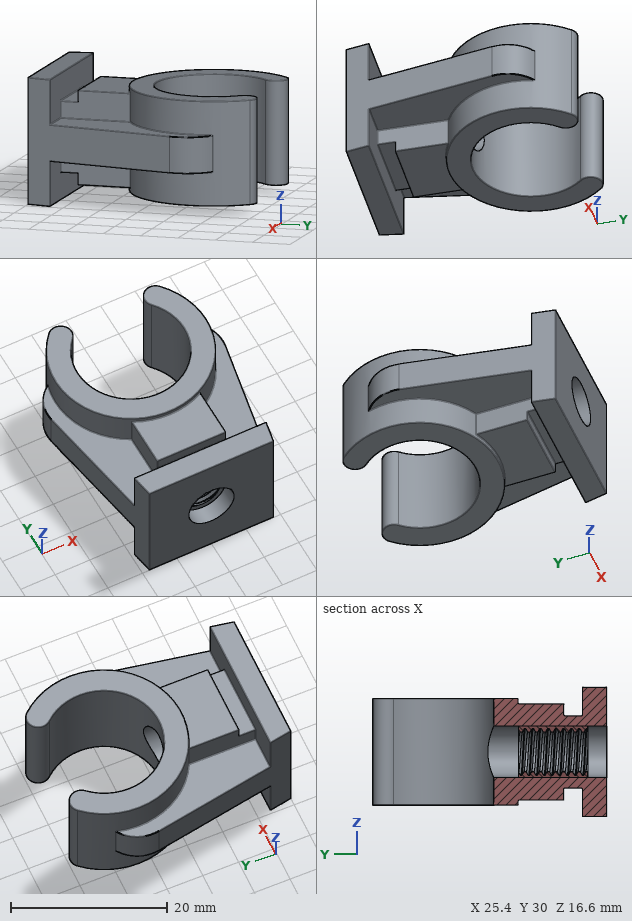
import cadquery as cq
import math


OVERALL_LENGTH = 30.0
RING_OUTER_RADIUS = 10.85
RING_BORE_RADIUS = 7.68
RING_HEIGHT = 13.7
RING_TIP_OFFSET = 6.87
TIP_RADIUS = (RING_OUTER_RADIUS - RING_BORE_RADIUS) / 2
RING_MID_RADIUS = (RING_OUTER_RADIUS + RING_BORE_RADIUS) / 2
TIP_ANGLE = math.asin(RING_TIP_OFFSET / RING_MID_RADIUS)
RING_CENTER_Y = OVERALL_LENGTH - TIP_RADIUS - RING_MID_RADIUS * math.cos(TIP_ANGLE)

PLATE_THICKNESS = 3.15
PLATE_HEIGHT = 16.6
PLATE_FRONT_WIDTH = 18.0
RIB_WIDTH = 25.4
RIB_HEIGHT = 4.8
SHOULDER_RADIUS = 5.0
SHOULDER_CENTER_X = RIB_WIDTH / 2 - SHOULDER_RADIUS
SHOULDER_CENTER_Y = 21.0

BLOCK_WIDTH = 9.93
BLOCK_HEIGHT = 12.35
NECK_HEIGHT = 9.33
NECK_END_Y = 5.5

EDGE_RADIUS = 0.1

INSERT_RADIUS = 3.27
INSERT_FRONT_Y = 2.43
INSERT_BACK_Y = RING_CENTER_Y - RING_OUTER_RADIUS
INSERT_LENGTH = INSERT_BACK_Y - INSERT_FRONT_Y
THREAD_MINOR_RADIUS = 2.52
THREAD_MAJOR_RADIUS = 3.0
THREAD_PITCH = 1.0
THREAD_FLANK_ANGLE = math.radians(30)
THREAD_ROOT_WIDTH = THREAD_PITCH / 8
THREAD_START_ANGLE = 225


def slab(y_start, y_end, width, height):
    """Box centred on X = 0 and Z = 0 between two Y positions."""
    return cq.Workplane("XY").box(width, y_end - y_start, height).translate((0, (y_start + y_end) / 2, 0))


def y_cylinder(radius, y_start, y_end):
    """Cylinder along the Y axis."""
    end_circle = cq.Workplane("XZ", origin=(0, y_start, 0)).circle(radius)
    return end_circle.extrude(y_start - y_end)


def ring_bore():
    """Cylinder that clears the inside of the ring."""
    return cq.Workplane("XY").center(0, RING_CENTER_Y).circle(RING_BORE_RADIUS).extrude(RING_HEIGHT, both=True)


def ring():
    """C-shaped ring, open toward +Y, with fully rounded tips."""

    def on_ring(radius, side):
        return (
            side * radius * math.sin(TIP_ANGLE),
            RING_CENTER_Y + radius * math.cos(TIP_ANGLE),
        )

    def tip_end(side):
        x, y = on_ring(RING_MID_RADIUS, side)
        return (
            x - side * TIP_RADIUS * math.cos(TIP_ANGLE),
            y + TIP_RADIUS * math.sin(TIP_ANGLE),
        )

    return (
        cq.Workplane("XY", origin=(0, 0, -RING_HEIGHT / 2))
        .moveTo(*on_ring(RING_OUTER_RADIUS, -1))
        .threePointArc((0, RING_CENTER_Y - RING_OUTER_RADIUS), on_ring(RING_OUTER_RADIUS, 1))
        .threePointArc(tip_end(1), on_ring(RING_BORE_RADIUS, 1))
        .threePointArc((0, RING_CENTER_Y - RING_BORE_RADIUS), on_ring(RING_BORE_RADIUS, -1))
        .threePointArc(tip_end(-1), on_ring(RING_OUTER_RADIUS, -1))
        .close()
        .extrude(RING_HEIGHT)
    )


def tapered_body(height):
    """Flaring outline whose straight sides run tangent into round shoulders."""
    to_center_x = SHOULDER_CENTER_X - PLATE_FRONT_WIDTH / 2
    distance = math.hypot(to_center_x, SHOULDER_CENTER_Y)
    taper = math.asin(SHOULDER_RADIUS / distance) + math.atan(to_center_x / SHOULDER_CENTER_Y)

    def shoulder_point(side, angle):
        return (
            side * (SHOULDER_CENTER_X + SHOULDER_RADIUS * math.cos(angle)),
            SHOULDER_CENTER_Y + SHOULDER_RADIUS * math.sin(angle),
        )

    return (
        cq.Workplane("XY", origin=(0, 0, -height / 2))
        .moveTo(-PLATE_FRONT_WIDTH / 2, 0)
        .lineTo(PLATE_FRONT_WIDTH / 2, 0)
        .lineTo(*shoulder_point(1, -taper))
        .threePointArc(shoulder_point(1, 0), shoulder_point(1, math.pi / 2))
        .lineTo(*shoulder_point(-1, math.pi / 2))
        .threePointArc(shoulder_point(-1, 0), shoulder_point(-1, -taper))
        .close()
        .extrude(height)
    )


def make_clip():
    """Ring, plate, rib and block as one solid, with a straight hole for the insert."""
    plate = tapered_body(PLATE_HEIGHT).intersect(slab(0, PLATE_THICKNESS, RIB_WIDTH, PLATE_HEIGHT))
    rib = tapered_body(RIB_HEIGHT).cut(ring_bore())
    neck = slab(PLATE_THICKNESS, NECK_END_Y, BLOCK_WIDTH, NECK_HEIGHT)
    block = slab(NECK_END_Y, RING_CENTER_Y, BLOCK_WIDTH, BLOCK_HEIGHT).cut(ring_bore())
    insert_hole = y_cylinder(INSERT_RADIUS, 0, RING_CENTER_Y)
    body = ring().union(rib).union(plate).union(neck).union(block)
    return body.edges().fillet(EDGE_RADIUS).cut(insert_hole)


def thread_groove():
    """Right-handed helical groove along +Z, crossing Z = 0 at the start angle and passing both ends."""
    start_z = -THREAD_PITCH * (1 + THREAD_START_ANGLE / 360)
    length = INSERT_LENGTH - start_z + THREAD_PITCH
    path = cq.Wire.makeHelix(THREAD_PITCH, length, THREAD_MINOR_RADIUS, center=cq.Vector(0, 0, start_z))
    inner_radius = THREAD_MINOR_RADIUS - THREAD_ROOT_WIDTH / 2
    half_root = THREAD_ROOT_WIDTH / 2
    half_mouth = half_root + (THREAD_MAJOR_RADIUS - inner_radius) * math.tan(THREAD_FLANK_ANGLE)
    profile = cq.Workplane("XZ").polyline(
        [
            (inner_radius, start_z - half_mouth),
            (THREAD_MAJOR_RADIUS, start_z - half_root),
            (THREAD_MAJOR_RADIUS, start_z + half_root),
            (inner_radius, start_z + half_mouth),
        ]
    )
    return profile.close().sweep(cq.Workplane(path), isFrenet=True)


def make_insert():
    """Round insert with an internal thread through its full length."""
    overrun = 3 * THREAD_PITCH
    sleeve = (
        cq.Workplane("XY", origin=(0, 0, -overrun))
        .circle(INSERT_RADIUS)
        .circle(THREAD_MINOR_RADIUS)
        .extrude(INSERT_LENGTH + 2 * overrun)
    )
    trim = cq.Workplane("XY").circle(2 * INSERT_RADIUS).extrude(INSERT_LENGTH)
    threaded = sleeve.cut(thread_groove()).intersect(trim)
    return threaded.rotate((0, 0, 0), (1, 0, 0), -90).translate((0, INSERT_FRONT_Y, 0))


clip = make_clip()
insert = make_insert()

result = cq.Compound.makeCompound([clip.solids().val(), insert.solids().val()])